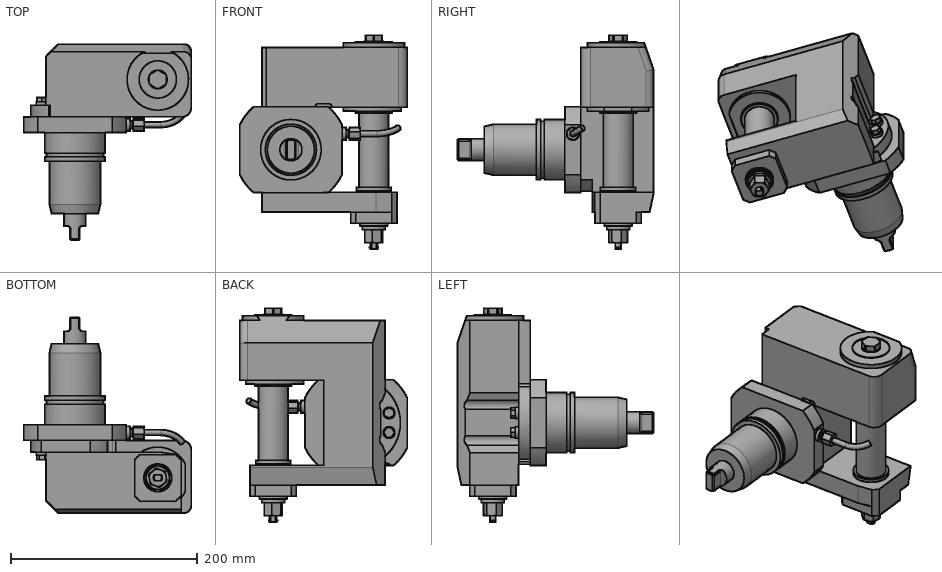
import cadquery as cq
import math


SHANK_DIA = 65.0
GROOVE_DIA = 61.5
PILOT_DIA = 55.0
PILOT_TIP_DIA = 50.4
DRIVE_DIA = 23.7
SHANK_GROOVE_START = 22.0
SHANK_GROOVE_END = 26.0
SHANK_END = 30.7
PILOT_TAPER_START = 76.9
PILOT_END = 86.8
DRIVE_SHOULDER = 100.3
DRIVE_END = 115.4
TANG_WIDTH = 10.7
TANG_ROOT_RADIUS = 2.4
TANG_CHAMFER = 1.4

FLANGE_WIDTH = 110.0
FLANGE_HEIGHT = 92.4
FLANGE_CORNER_RADIUS = 61.2
FLANGE_THICKNESS = 17.0

HOUSING_LEFT = -31.25
HOUSING_RIGHT = 125.0
HOUSING_FRONT = FLANGE_THICKNESS
HOUSING_BACK = 95.2
HOUSING_TOP = 110.0
HEAD_BOTTOM = 45.4
FRONT_STEP_LEFT = -26.4
ARM_FRONT = 29.6
ARM_TOP = -45.4
ARM_BOTTOM = -67.1
BACK_LEFT_CHAMFER = 13.4
CORNER_RADIUS = 10.0
BACK_CORNER_RADIUS = 8.2
TOP_SLOPE_START = 86.1
TOP_SLOPE_RATIO = 0.345
BOTTOM_SLOPE_START = -47.6
BOTTOM_SLOPE_RATIO = 0.215
COLUMN_RIGHT = 35.0

CHANNEL_MOUTH_Z = 32.0
CHANNEL_BEND_X = -28.1
CHANNEL_BEND_Z = 24.0
CHANNEL_FLOOR_X = -25.2
CHANNEL_FLOOR_Z = 18.5
CHANNEL_LAND_X = FRONT_STEP_LEFT
CHANNEL_LAND_Z = 14.2

PAD_RADIUS = 47.6
PAD_SHOULDER_Z = 38.6
PAD_SHOULDER_TOP = 42.0
PAD_FOOT_BOTTOM = -44.7
PAD_FOOT_TOP = -42.0
PAD_FOOT_ROOT_Z = -39.0
PAD_FOOT_TOP_X = -30.0
PAD_FOOT_LEFT = -36.0
PAD_FOOT_FILLET_MID = (-27.8, -41.0)

RELIEF_CENTER_X = 35.0
RELIEF_WIDTH = 17.4
RELIEF_TOP = 49.6
RELIEF_RADIUS = 3.5
RELIEF_DEPTH = ARM_FRONT - HOUSING_FRONT

POST_X = 89.0
POST_Y = 57.2
POST_DIA = 32.0
COLLAR_DIA = 38.0
COLLAR_TOP = -40.5
COLLAR_BOTTOM = -44.1
CAP_DIA = 66.0
CAP_TOP = 114.9
LOWER_CAP_BOTTOM = 41.3
LOWER_CAP_RIGHT = 118.5
COVER_DIA = 40.0
COVER_TOP = 115.7
COVER_BOTTOM = 39.4
COVER_CHAMFER = 0.6
TOP_WASHER_DIA = 20.0
TOP_WASHER_TOP = 116.3
TOP_HEX_FLATS = 18.0
TOP_HEX_TURN = 30.0
TOP_HEX_TOP = 123.1

BLOCK_SIDE = 50.0
BLOCK_CHAMFER = 5.7
BLOCK_BOTTOM = -79.0
ARM_FACET_LEFT = 91.3
SEAT_DIA = 30.0
SEAT_BOTTOM = -82.0
SEAT_CHAMFER = 0.6
NUT_COLLAR_DIA = 25.0
NUT_COLLAR_BOTTOM = -86.0
NUT_FLATS = 18.0
NUT_TURN = 20.0
NUT_BOTTOM = -99.9
NUT_CHAMFER = 1.0
STUB_DIA = 8.15
STUB_RIM_DIA = 9.55
STUB_FLATS = 6.5
STUB_RIM_TOP = -104.9
STUB_RIM_BOTTOM = -105.4
STUB_BOTTOM = -106.8

SCREW_X = -35.4
SCREW_Z = 10.5
SCREW_COLLAR_DIA = 12.4
SCREW_COLLAR_LENGTH = 3.4
SCREW_HEX_FLATS = 10.0
SCREW_HEX_LENGTH = 4.9
UPPER_SCREW_TURN = 30.0
LOWER_SCREW_TURN = 0.0

PIPE_Y = 8.6
PIPE_Z = 17.2
FITTING_FLANGE_DIA = 13.8
FITTING_FLANGE_END = 59.2
FITTING_NECK_DIA = 8.15
FITTING_NECK_END = 61.6
FITTING_RING_DIA = 9.8
FITTING_RING_END = 62.8
FITTING_HEX_FLATS = 12.2
FITTING_HEX_END = 74.4
FITTING_HEX_TURN = 45.0
PIPE_DIA = 6.3
PIPE_BEND_START = 92.0
PIPE_BEND_RADIUS = 28.2
PIPE_BEND_ANGLE = 56.0
PIPE_BEND_TILT = 31.0


def box(x0, x1, y0, y1, z0, z1):
    """Box given by its limits along the three axes."""
    return cq.Workplane("XY").box(x1 - x0, y1 - y0, z1 - z0, centered=False).translate((x0, y0, z0))


def post_cylinder(diameter, z0, z1):
    """Cylinder on the vertical post axis."""
    return cq.Workplane("XY", origin=(POST_X, POST_Y, z0)).circle(diameter / 2).extrude(z1 - z0)


def hexagon(plane, flats, length, turn):
    """Hexagonal prism across the given flats, centred on the origin of the plane."""
    corner_dia = flats / math.cos(math.pi / 6)
    return plane.transformed(rotate=(0, 0, turn)).polygon(6, corner_dia).extrude(length)


def make_shank():
    profile = [
        (0, 0),
        (SHANK_DIA / 2, 0),
        (SHANK_DIA / 2, -SHANK_GROOVE_START),
        (GROOVE_DIA / 2, -SHANK_GROOVE_START),
        (GROOVE_DIA / 2, -SHANK_GROOVE_END),
        (SHANK_DIA / 2, -SHANK_GROOVE_END),
        (SHANK_DIA / 2, -SHANK_END),
        (PILOT_DIA / 2, -SHANK_END),
        (PILOT_DIA / 2, -PILOT_TAPER_START),
        (PILOT_TIP_DIA / 2, -PILOT_END),
        (DRIVE_DIA / 2, -PILOT_END),
        (DRIVE_DIA / 2, -DRIVE_END + TANG_CHAMFER),
        (DRIVE_DIA / 2 - TANG_CHAMFER, -DRIVE_END),
        (0, -DRIVE_END),
    ]
    shank = cq.Workplane("XY").polyline(profile).close().revolve(360, (0, 0, 0), (0, 1, 0))
    flat_half_height = math.sqrt((DRIVE_DIA / 2) ** 2 - (TANG_WIDTH / 2) ** 2)
    for side in (1, -1):
        tang_side = (
            cq.Workplane("XY", origin=(0, 0, -DRIVE_DIA))
            .moveTo(side * DRIVE_DIA, -DRIVE_SHOULDER)
            .lineTo(side * (TANG_WIDTH / 2 + TANG_ROOT_RADIUS), -DRIVE_SHOULDER)
            .radiusArc((side * TANG_WIDTH / 2, -DRIVE_SHOULDER - TANG_ROOT_RADIUS), -side * TANG_ROOT_RADIUS)
            .lineTo(side * TANG_WIDTH / 2, -DRIVE_END + TANG_CHAMFER)
            .lineTo(side * (TANG_WIDTH / 2 - TANG_CHAMFER), -DRIVE_END)
            .lineTo(side * DRIVE_DIA, -DRIVE_END)
            .close()
            .extrude(2 * DRIVE_DIA)
        )
        shank = shank.cut(tang_side)
        for end in (1, -1):
            long_edge_bevel = (
                cq.Workplane("XZ", origin=(0, -DRIVE_SHOULDER - TANG_ROOT_RADIUS, 0))
                .moveTo(side * TANG_WIDTH / 2, end * (flat_half_height - TANG_CHAMFER))
                .lineTo(side * (TANG_WIDTH / 2 - TANG_CHAMFER), end * DRIVE_DIA / 2)
                .lineTo(side * TANG_WIDTH / 2, end * DRIVE_DIA / 2)
                .close()
                .extrude(DRIVE_END - DRIVE_SHOULDER)
            )
            shank = shank.cut(long_edge_bevel)
    return shank


def make_flange():
    half_width = FLANGE_WIDTH / 2
    half_height = FLANGE_HEIGHT / 2
    plate = box(-half_width, half_width, 0, FLANGE_THICKNESS, -half_height, half_height)
    corners = cq.Workplane("XZ").circle(FLANGE_CORNER_RADIUS).extrude(-FLANGE_THICKNESS)
    return plate.intersect(corners)


def make_pad():
    """Round pad with a shoulder at its top left and a foot at its bottom left."""
    depth = ARM_FRONT - FLANGE_THICKNESS
    plane = cq.Workplane("XZ", origin=(0, FLANGE_THICKNESS, 0))
    disc = plane.circle(PAD_RADIUS).extrude(-depth)
    disc = disc.intersect(
        box(-PAD_RADIUS, COLUMN_RIGHT, FLANGE_THICKNESS, ARM_FRONT, PAD_FOOT_BOTTOM, PAD_SHOULDER_TOP)
    )
    shoulder_x = -math.sqrt(PAD_RADIUS**2 - PAD_SHOULDER_Z**2)
    shoulder = (
        plane.moveTo(0, 0)
        .lineTo(shoulder_x, PAD_SHOULDER_Z)
        .lineTo(FRONT_STEP_LEFT, PAD_SHOULDER_TOP)
        .lineTo(0, PAD_SHOULDER_TOP)
        .close()
        .extrude(-depth)
    )
    foot_root_x = -math.sqrt(PAD_RADIUS**2 - PAD_FOOT_ROOT_Z**2)
    foot = (
        plane.moveTo(0, 0)
        .lineTo(foot_root_x, PAD_FOOT_ROOT_Z)
        .threePointArc(PAD_FOOT_FILLET_MID, (PAD_FOOT_TOP_X, PAD_FOOT_TOP))
        .lineTo(PAD_FOOT_LEFT, PAD_FOOT_BOTTOM)
        .lineTo(0, PAD_FOOT_BOTTOM)
        .close()
        .extrude(-depth)
    )
    return disc.union(shoulder).union(foot)


def make_head():
    """Upper gear head with a stepped left front corner and rounded right corners."""
    rear = box(HOUSING_LEFT, HOUSING_RIGHT, ARM_FRONT, HOUSING_BACK, HEAD_BOTTOM, HOUSING_TOP)
    slope_foot = HOUSING_BACK - TOP_SLOPE_RATIO * (HOUSING_TOP - TOP_SLOPE_START)
    corner_edges = cq.selectors.BoxSelector(
        (HOUSING_RIGHT - 1, slope_foot, HEAD_BOTTOM),
        (HOUSING_RIGHT + 1, HOUSING_BACK + 1, HOUSING_TOP),
    )
    rear = rear.cut(back_slopes()).edges(corner_edges).fillet(BACK_CORNER_RADIUS)
    front = box(FRONT_STEP_LEFT, HOUSING_RIGHT, HOUSING_FRONT, ARM_FRONT, HEAD_BOTTOM, HOUSING_TOP)
    front = front.edges("|Z and >X and <Y").fillet(CORNER_RADIUS)
    apron = box(FRONT_STEP_LEFT, COLUMN_RIGHT, HOUSING_FRONT, ARM_FRONT, 0, HEAD_BOTTOM)
    relief = box(
        RELIEF_CENTER_X - RELIEF_WIDTH / 2,
        RELIEF_CENTER_X + RELIEF_WIDTH / 2,
        HOUSING_FRONT,
        HOUSING_FRONT + RELIEF_DEPTH,
        HEAD_BOTTOM,
        RELIEF_TOP,
    )
    relief = relief.edges("|Y and >Z").fillet(RELIEF_RADIUS)
    return rear.union(front).union(apron).cut(relief)


def make_column():
    """Column between head and arm, with two channels along its left face."""
    outline = (
        cq.Workplane("XZ", origin=(0, ARM_FRONT, 0))
        .moveTo(COLUMN_RIGHT, HEAD_BOTTOM)
        .lineTo(HOUSING_LEFT, HEAD_BOTTOM)
        .lineTo(HOUSING_LEFT, CHANNEL_MOUTH_Z)
        .lineTo(CHANNEL_BEND_X, CHANNEL_BEND_Z)
        .threePointArc((CHANNEL_FLOOR_X, CHANNEL_FLOOR_Z), (CHANNEL_LAND_X, CHANNEL_LAND_Z))
        .lineTo(CHANNEL_LAND_X, -CHANNEL_LAND_Z)
        .threePointArc((CHANNEL_FLOOR_X, -CHANNEL_FLOOR_Z), (CHANNEL_BEND_X, -CHANNEL_BEND_Z))
        .lineTo(HOUSING_LEFT, -CHANNEL_MOUTH_Z)
        .lineTo(HOUSING_LEFT, ARM_TOP)
        .lineTo(COLUMN_RIGHT, ARM_TOP)
        .close()
    )
    return outline.extrude(ARM_FRONT - HOUSING_BACK)


def make_arm():
    """Lower arm; its front face breaks back to meet the chamfer of the bearing block."""
    block_front = POST_Y - BLOCK_SIDE / 2
    arm_right = POST_X + BLOCK_SIDE / 2
    outline = [
        (HOUSING_LEFT, ARM_FRONT),
        (ARM_FACET_LEFT, ARM_FRONT),
        (arm_right - BLOCK_CHAMFER, block_front),
        (arm_right, block_front + BLOCK_CHAMFER),
        (arm_right, HOUSING_BACK),
        (HOUSING_LEFT, HOUSING_BACK),
    ]
    plane = cq.Workplane("XY", origin=(0, 0, ARM_BOTTOM))
    return plane.polyline(outline).close().extrude(ARM_TOP - ARM_BOTTOM)


def back_slopes():
    """Space behind the housing, sloping forward above and below its flat back."""
    beyond = 2 * HOUSING_RIGHT
    top_run = beyond - TOP_SLOPE_START
    bottom_run = beyond + BOTTOM_SLOPE_START
    return (
        cq.Workplane("YZ", origin=(-beyond, 0, 0))
        .moveTo(HOUSING_BACK, TOP_SLOPE_START)
        .lineTo(HOUSING_BACK - TOP_SLOPE_RATIO * top_run, beyond)
        .lineTo(beyond, beyond)
        .lineTo(beyond, -beyond)
        .lineTo(HOUSING_BACK - BOTTOM_SLOPE_RATIO * bottom_run, -beyond)
        .lineTo(HOUSING_BACK, BOTTOM_SLOPE_START)
        .close()
        .extrude(2 * beyond)
    )


def left_bevel():
    """Material outside the bevel between the left face and the back."""
    return (
        cq.Workplane("XY", origin=(0, 0, ARM_BOTTOM))
        .moveTo(HOUSING_LEFT, HOUSING_BACK - BACK_LEFT_CHAMFER)
        .lineTo(HOUSING_LEFT + BACK_LEFT_CHAMFER, HOUSING_BACK)
        .lineTo(HOUSING_LEFT, HOUSING_BACK)
        .close()
        .extrude(HOUSING_TOP - ARM_BOTTOM)
    )


def make_caps():
    """Round caps above and below the head; the lower one is cut flat at its right."""
    upper = post_cylinder(CAP_DIA, HOUSING_TOP, CAP_TOP)
    lower = post_cylinder(CAP_DIA, LOWER_CAP_BOTTOM, HEAD_BOTTOM)
    keep = box(0, LOWER_CAP_RIGHT, 0, HOUSING_BACK, LOWER_CAP_BOTTOM, HEAD_BOTTOM)
    return upper.union(lower.intersect(keep))


def make_post():
    """Post, its covers and the hexagon head on top."""
    post = post_cylinder(POST_DIA, ARM_TOP, HEAD_BOTTOM)
    post = post.union(post_cylinder(COLLAR_DIA, COLLAR_BOTTOM, COLLAR_TOP))
    lower_cover = post_cylinder(COVER_DIA, COVER_BOTTOM, LOWER_CAP_BOTTOM)
    post = post.union(lower_cover.faces("<Z").chamfer(COVER_CHAMFER))
    post = post.union(post_cylinder(COVER_DIA, CAP_TOP, COVER_TOP))
    post = post.union(post_cylinder(TOP_WASHER_DIA, COVER_TOP, TOP_WASHER_TOP))
    hex_plane = cq.Workplane("XY", origin=(POST_X, POST_Y, TOP_WASHER_TOP))
    hex_head = hexagon(hex_plane, TOP_HEX_FLATS, TOP_HEX_TOP - TOP_WASHER_TOP, TOP_HEX_TURN)
    hex_head = hex_head.intersect(post_cylinder(TOP_WASHER_DIA, TOP_WASHER_TOP, TOP_HEX_TOP))
    return post.union(hex_head)


def make_bearing_block():
    """Square block under the arm with bevelled corners."""
    plane = cq.Workplane("XY", origin=(POST_X, POST_Y, BLOCK_BOTTOM))
    block = plane.rect(BLOCK_SIDE, BLOCK_SIDE).extrude(ARM_BOTTOM - BLOCK_BOTTOM)
    return block.edges("|Z").chamfer(BLOCK_CHAMFER)


def make_nut():
    """Seat, nut and flattened stub below the bearing block."""
    seat = post_cylinder(SEAT_DIA, SEAT_BOTTOM, BLOCK_BOTTOM).faces("<Z").chamfer(SEAT_CHAMFER)
    collar = post_cylinder(NUT_COLLAR_DIA, NUT_COLLAR_BOTTOM, SEAT_BOTTOM)
    nut_plane = cq.Workplane("XY", origin=(POST_X, POST_Y, NUT_BOTTOM))
    nut = hexagon(nut_plane, NUT_FLATS, NUT_COLLAR_BOTTOM - NUT_BOTTOM, NUT_TURN)
    nut_corner_dia = NUT_FLATS / math.cos(math.pi / 6)
    envelope = post_cylinder(nut_corner_dia, NUT_BOTTOM, NUT_COLLAR_BOTTOM)
    nut = nut.intersect(envelope.faces("<Z").chamfer(NUT_CHAMFER))
    stub = post_cylinder(STUB_DIA, STUB_BOTTOM, NUT_BOTTOM)
    stub = stub.union(post_cylinder(STUB_RIM_DIA, STUB_RIM_BOTTOM, STUB_RIM_TOP))
    half_rim = STUB_RIM_DIA / 2
    half_flats = STUB_FLATS / 2
    flats = box(
        POST_X - half_rim,
        POST_X + half_rim,
        POST_Y - half_flats,
        POST_Y + half_flats,
        STUB_BOTTOM,
        NUT_BOTTOM,
    )
    return seat.union(collar).union(nut).union(stub.intersect(flats))


def make_screw(z, turn):
    """Clamping screw standing on the back of the pad, its head turned by the given angle."""
    collar = cq.Workplane("XZ", origin=(SCREW_X, ARM_FRONT, z))
    collar = collar.circle(SCREW_COLLAR_DIA / 2).extrude(-SCREW_COLLAR_LENGTH)
    head_plane = cq.Workplane("XZ", origin=(SCREW_X, ARM_FRONT + SCREW_COLLAR_LENGTH, z))
    return collar.union(hexagon(head_plane, SCREW_HEX_FLATS, -SCREW_HEX_LENGTH, turn))


def make_coolant_line():
    """Pipe fitting on the right edge of the flange and the bent pipe leaving it."""

    def fitting_plane(x):
        return cq.Workplane("YZ", origin=(x, PIPE_Y, PIPE_Z))

    edge = FLANGE_WIDTH / 2
    line = fitting_plane(edge).circle(FITTING_FLANGE_DIA / 2).extrude(FITTING_FLANGE_END - edge)
    neck = fitting_plane(FITTING_FLANGE_END).circle(FITTING_NECK_DIA / 2)
    line = line.union(neck.extrude(FITTING_NECK_END - FITTING_FLANGE_END))
    ring = fitting_plane(FITTING_NECK_END).circle(FITTING_RING_DIA / 2)
    line = line.union(ring.extrude(FITTING_RING_END - FITTING_NECK_END))
    hex_length = FITTING_HEX_END - FITTING_RING_END
    hex_plane = fitting_plane(FITTING_RING_END)
    line = line.union(hexagon(hex_plane, FITTING_HEX_FLATS, hex_length, FITTING_HEX_TURN))
    straight = fitting_plane(FITTING_HEX_END).circle(PIPE_DIA / 2)
    line = line.union(straight.extrude(PIPE_BEND_START - FITTING_HEX_END))

    tilt = math.radians(PIPE_BEND_TILT)
    bend_center = (PIPE_BEND_RADIUS * math.cos(tilt), PIPE_BEND_RADIUS * math.sin(tilt))
    axis_end = (bend_center[0] + math.sin(tilt), bend_center[1] - math.cos(tilt))
    bend = fitting_plane(PIPE_BEND_START).circle(PIPE_DIA / 2)
    return line.union(bend.revolve(PIPE_BEND_ANGLE, axis_end, bend_center))


housing = make_head().union(make_column()).union(make_arm()).union(make_caps())
housing = housing.cut(back_slopes()).cut(left_bevel())

result = make_shank().union(make_flange()).union(make_pad()).union(housing)
result = result.union(make_post()).union(make_bearing_block()).union(make_nut())
for screw_z, screw_turn in ((SCREW_Z, UPPER_SCREW_TURN), (-SCREW_Z, LOWER_SCREW_TURN)):
    result = result.union(make_screw(screw_z, screw_turn))
result = result.union(make_coolant_line())